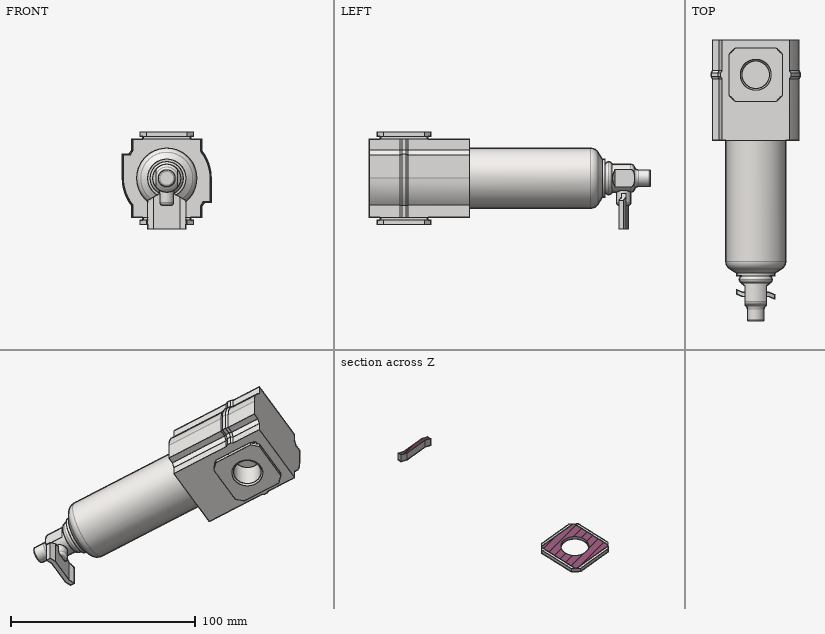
import cadquery as cq
import math


head_length = 54.5
head_half_height = 21.2
head_half_width = 18.3
shoulder_half_width = 23.5
slope_half_width = 19.9
slope_top = 15.3
ledge_height = 12.5
round_end_depth = 14.7

port_y = -19.0
band_height = 0.69
band_foot_width = 4.6
band_crest_width = 2.0

pad_width = 29.2
pad_chamfer = 3.5
pad_face_height = 25.2
pad_thickness = 2.5
neck_width = 26.3
neck_chamfer = 0.6
port_radius = 7.5
port_chamfer = 0.9
port_depth = 16.8

bowl_radius = 16.3
bowl_shoulder_y = -120.4
bowl_fillet = 4.7
bowl_cone_angle = math.radians(58)
lip_radius = 10.4
lip_end_y = -128.2

collar_radius = 9.0
collar_round = 2.0
valve_radius = 7.6
valve_fillet_y = -142.1
tip_radius = 4.6
tip_start_y = -146.2
tip_end_y = -152.8
tip_fillet = 0.8
flat_half_width = 6.0
flat_start_y = -133.7
flat_runout_angle = math.radians(50)

lever_y = -138.3
stem_radius = 4.0
stem_bottom = -14.8
stem_fillet = 1.7
wing_half_width = 10.4
wing_bend_x = 7.2
wing_bend_offset = 1.4
wing_thickness = 2.5
wing_bottom = -27.7
wing_corner_z = -12.0
wing_top_angle = math.radians(30)


def side_outline(y, growth):
    """Head section at the given y, with both sides moved outward by growth."""
    flank = head_half_width + growth
    slope = slope_half_width + growth
    shoulder = shoulder_half_width + growth
    ledge = ledge_height + growth
    inset = shoulder_half_width - head_half_width
    radius = (inset**2 + round_end_depth**2) / (2 * inset) + growth
    center_x = shoulder - radius
    end_z = math.sqrt(radius**2 - (flank - center_x) ** 2)
    half_sweep = math.asin(end_z / radius) / 2
    mid_x = center_x + radius * math.cos(half_sweep)
    mid_z = radius * math.sin(half_sweep)
    return (
        cq.Workplane("XZ", origin=(0, y, 0))
        .moveTo(-flank, head_half_height)
        .lineTo(-flank, slope_top)
        .lineTo(-slope, ledge)
        .lineTo(-shoulder, ledge)
        .lineTo(-shoulder, 0)
        .threePointArc((-mid_x, -mid_z), (-flank, -end_z))
        .lineTo(-flank, -head_half_height)
        .lineTo(flank, -head_half_height)
        .lineTo(flank, -slope_top)
        .lineTo(slope, -ledge)
        .lineTo(shoulder, -ledge)
        .lineTo(shoulder, 0)
        .threePointArc((mid_x, mid_z), (flank, end_z))
        .lineTo(flank, head_half_height)
        .close()
    )


def make_band():
    """Raised band with sloped sides, following the head section."""
    foot = band_foot_width / 2
    crest = band_crest_width / 2
    stations = [(foot, 0), (crest, band_height), (-crest, band_height), (-foot, 0)]
    wires = [side_outline(port_y + offset, growth).wire().val() for offset, growth in stations]
    return cq.Workplane(obj=cq.Solid.makeLoft(wires, True))


def make_pad():
    """Port pad on its square neck, above the head."""
    plate_bottom = pad_face_height - pad_thickness
    neck = (
        cq.Workplane("XY", origin=(0, port_y, head_half_height))
        .rect(neck_width, neck_width)
        .extrude(plate_bottom - head_half_height)
        .edges("|Z")
        .chamfer(neck_chamfer)
    )
    plate = (
        cq.Workplane("XY", origin=(0, port_y, plate_bottom))
        .rect(pad_width, pad_width)
        .extrude(pad_thickness)
        .edges("|Z")
        .chamfer(pad_chamfer)
    )
    return neck.union(plate)


def make_port_cutter():
    """Blind port with a chamfered mouth, entering from above."""
    mouth_radius = port_radius + port_chamfer
    profile = (
        cq.Workplane("XZ", origin=(0, port_y, 0))
        .moveTo(0, pad_face_height)
        .lineTo(mouth_radius, pad_face_height)
        .lineTo(port_radius, pad_face_height - port_chamfer)
        .lineTo(port_radius, pad_face_height - port_depth)
        .lineTo(0, pad_face_height - port_depth)
        .close()
    )
    return profile.revolve(360, (0, 0, 0), (0, 1, 0))


def make_head():
    """Extruded head with its band, and a pad with a port above and below."""
    head = side_outline(0, 0).extrude(head_length).union(make_band())
    pad = make_pad()
    port = make_port_cutter()
    for turn in (0, 180):
        head = head.union(pad.rotate((0, 0, 0), (0, 1, 0), turn))
        head = head.cut(port.rotate((0, 0, 0), (0, 1, 0), turn))
    return head


def make_bowl():
    """Turned bowl with a rounded shoulder, a short cone and an end lip."""

    def shoulder_point(angle):
        radius = bowl_radius - bowl_fillet * (1 - math.cos(angle))
        return radius, bowl_shoulder_y - bowl_fillet * math.sin(angle)

    cone_start = shoulder_point(bowl_cone_angle)
    lip_start_y = cone_start[1] - (cone_start[0] - lip_radius) / math.tan(bowl_cone_angle)
    profile = (
        cq.Workplane("XY")
        .moveTo(0, -head_length)
        .lineTo(bowl_radius, -head_length)
        .lineTo(bowl_radius, bowl_shoulder_y)
        .threePointArc(shoulder_point(bowl_cone_angle / 2), cone_start)
        .lineTo(lip_radius, lip_start_y)
        .lineTo(lip_radius, lip_end_y)
        .lineTo(0, lip_end_y)
        .close()
    )
    return profile.revolve(360, (0, 0, 0), (0, 1, 0))


def make_valve_body():
    """Turned valve: rounded collar, cylinder, S-shaped shoulder and tip."""
    ring_radius = collar_radius - collar_round
    ring_y = lip_end_y - collar_round
    collar_end_y = ring_y - math.sqrt(collar_round**2 - (valve_radius - ring_radius) ** 2)
    shoulder_middle = ((valve_radius + tip_radius) / 2, (valve_fillet_y + tip_start_y) / 2)
    profile = (
        cq.Workplane("XY")
        .moveTo(0, lip_end_y)
        .lineTo(ring_radius, lip_end_y)
        .tangentArcPoint((collar_radius, ring_y), relative=False)
        .tangentArcPoint((valve_radius, collar_end_y), relative=False)
        .lineTo(valve_radius, valve_fillet_y)
        .tangentArcPoint(shoulder_middle, relative=False)
        .tangentArcPoint((tip_radius, tip_start_y), relative=False)
        .lineTo(tip_radius, tip_end_y)
        .lineTo(0, tip_end_y)
        .close()
    )
    return profile.revolve(360, (0, 0, 0), (0, 1, 0)).faces("<Y").edges().fillet(tip_fillet)


def make_flat_cutter():
    """Cutter for one flat of the valve, with a sloped runout toward the collar."""
    runout = (collar_radius - flat_half_width) / math.tan(flat_runout_angle)
    return (
        cq.Workplane("XY", origin=(0, 0, -valve_radius))
        .moveTo(flat_half_width, tip_end_y)
        .lineTo(flat_half_width, flat_start_y)
        .lineTo(collar_radius, flat_start_y + runout)
        .lineTo(collar_radius, tip_end_y)
        .close()
        .extrude(2 * valve_radius)
    )


def make_stem():
    """Lever stem, rising from its rounded lower end into the valve."""
    return (
        cq.Workplane("XY", origin=(0, lever_y, stem_bottom))
        .circle(stem_radius)
        .extrude(-stem_bottom)
        .faces("<Z")
        .edges()
        .fillet(stem_fillet)
    )


def make_wing():
    """Plate with its ends bent opposite ways and its top sloping down to both ends."""
    half = wing_thickness / 2
    plate = (
        cq.Workplane("XY", origin=(0, lever_y, wing_bottom))
        .moveTo(-wing_half_width, wing_bend_offset + half)
        .lineTo(-wing_bend_x, half)
        .lineTo(wing_bend_x, half)
        .lineTo(wing_half_width, half - wing_bend_offset)
        .lineTo(wing_half_width, -half - wing_bend_offset)
        .lineTo(wing_bend_x, -half)
        .lineTo(-wing_bend_x, -half)
        .lineTo(-wing_half_width, wing_bend_offset - half)
        .close()
        .extrude(-wing_bottom)
    )
    peak_z = wing_corner_z + wing_half_width * math.tan(wing_top_angle)
    face = (
        cq.Workplane("XZ", origin=(0, lever_y, 0))
        .moveTo(-wing_half_width, wing_bottom)
        .lineTo(wing_half_width, wing_bottom)
        .lineTo(wing_half_width, wing_corner_z)
        .lineTo(0, peak_z)
        .lineTo(-wing_half_width, wing_corner_z)
        .close()
        .extrude(wing_bend_offset + wing_thickness, both=True)
    )
    return plate.intersect(face)


def make_drain_valve():
    """Drain valve with two opposite flats, in one piece with its lever."""
    valve = make_valve_body()
    flat = make_flat_cutter()
    for turn in (0, 180):
        valve = valve.cut(flat.rotate((0, 0, 0), (0, 1, 0), turn))
    return valve.union(make_stem()).union(make_wing())


head = make_head()
bowl = make_bowl()
drain_valve = make_drain_valve()

result = cq.Compound.makeCompound([head.solids().val(), bowl.val(), drain_valve.solids().val()])